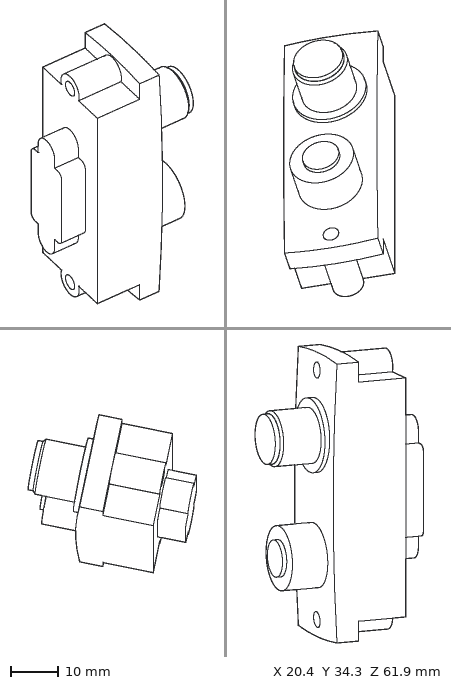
import cadquery as cq

LENGTH = 61.85
WIDTH = 20.4
END_BULGE = 0.6
BODY_HALF_LENGTH = 26.0
FLANGE_FRONT = 10.95
REAR_EDGE = 15.95
REAR_CREST = 16.9

BOSS_DIAMETER = 6.8
BOSS_OFFSET = 27.1
SCREW_HOLE_DIAMETER = 3.4

PLUG_DEPTH = 6.1
PLUG_WIDTH = 11.45
PLUG_LENGTH = 20.0
PLUG_CORNER_RADIUS = 1.5
TAB_WIDTH = 6.2
PLUG_OVERALL_LENGTH = 31.1

CONNECTOR_OFFSET = 13.05
CONNECTOR_BASE = 12.35
COLLAR_DIAMETER = 16.0
COLLAR_END = 17.8
PLUG_BARREL_DIAMETER = 12.0
PLUG_BARREL_END = 27.1
BARREL_CHAMFER = 0.55
PLUG_TIP_DIAMETER = 10.75
PLUG_TIP_END = 28.2
SOCKET_BARREL_DIAMETER = 14.0
SOCKET_BARREL_END = 24.9
SOCKET_TIP_DIAMETER = 8.0
SOCKET_TIP_END = 25.9


def cylinder(diameter, y_start, y_end, z_center):
    """Solid cylinder along +Y on the centre plane X = 0."""
    plane = cq.Workplane("XZ", origin=(0, y_start, z_center))
    return plane.circle(diameter / 2).extrude(y_start - y_end)


def make_housing():
    half_width = WIDTH / 2
    half_length = LENGTH / 2
    corner_z = half_length - END_BULGE
    outline = (
        cq.Workplane("XZ")
        .moveTo(-half_width, -corner_z)
        .threePointArc((0, -half_length), (half_width, -corner_z))
        .lineTo(half_width, corner_z)
        .threePointArc((0, half_length), (-half_width, corner_z))
        .close()
        .extrude(-REAR_CREST)
    )
    profile = (
        cq.Workplane("YZ", origin=(-half_width, 0, 0))
        .moveTo(0, -BODY_HALF_LENGTH)
        .lineTo(FLANGE_FRONT, -BODY_HALF_LENGTH)
        .lineTo(FLANGE_FRONT, -half_length)
        .lineTo(REAR_EDGE, -half_length)
        .threePointArc((REAR_CREST, 0), (REAR_EDGE, half_length))
        .lineTo(FLANGE_FRONT, half_length)
        .lineTo(FLANGE_FRONT, BODY_HALF_LENGTH)
        .lineTo(0, BODY_HALF_LENGTH)
        .close()
        .extrude(WIDTH)
    )
    return outline.intersect(profile)


def make_front_plug():
    shell = (
        cq.Workplane("XZ")
        .rect(PLUG_WIDTH, PLUG_LENGTH)
        .extrude(PLUG_DEPTH)
        .edges("|Y")
        .fillet(PLUG_CORNER_RADIUS)
    )
    tabs = cq.Workplane("XZ").slot2D(PLUG_OVERALL_LENGTH, TAB_WIDTH, 90).extrude(PLUG_DEPTH)
    return shell.union(tabs)


def make_upper_connector():
    collar = cylinder(COLLAR_DIAMETER, CONNECTOR_BASE, COLLAR_END, CONNECTOR_OFFSET)
    barrel = cylinder(PLUG_BARREL_DIAMETER, CONNECTOR_BASE, PLUG_BARREL_END, CONNECTOR_OFFSET)
    barrel = barrel.faces(">Y").chamfer(BARREL_CHAMFER)
    tip = cylinder(PLUG_TIP_DIAMETER, CONNECTOR_BASE, PLUG_TIP_END, CONNECTOR_OFFSET)
    return collar.union(barrel).union(tip)


def make_lower_connector():
    barrel = cylinder(SOCKET_BARREL_DIAMETER, CONNECTOR_BASE, SOCKET_BARREL_END, -CONNECTOR_OFFSET)
    tip = cylinder(SOCKET_TIP_DIAMETER, CONNECTOR_BASE, SOCKET_TIP_END, -CONNECTOR_OFFSET)
    return barrel.union(tip)


result = make_housing()
for boss_z in (-BOSS_OFFSET, BOSS_OFFSET):
    result = result.union(cylinder(BOSS_DIAMETER, 0, FLANGE_FRONT, boss_z))
    result = result.cut(cylinder(SCREW_HOLE_DIAMETER, 0, REAR_CREST, boss_z))
result = result.union(make_front_plug())
result = result.union(make_upper_connector())
result = result.union(make_lower_connector())